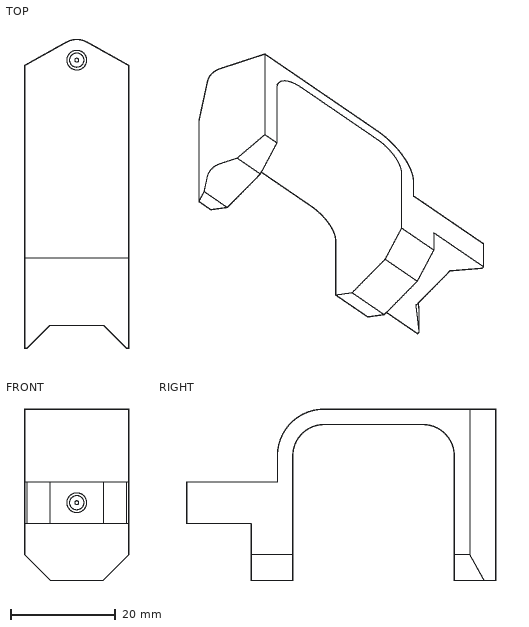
import cadquery as cq
import math

WIDTH = 20.0
HEIGHT = 33.0
LENGTH = 59.4
WALL = 3.0
BACK_LEG = 8.0
CLEAR_SPAN = 31.0
FRONT_FOOT = 8.0
INNER_RADIUS = 6.0
OUTER_RADIUS = INNER_RADIUS + WALL

ARM_BOTTOM = 11.0
ARM_TOP = 19.0

FOOT_CHAMFER = 5.0
NOSE_LENGTH = 5.0
NOSE_RADIUS = 4.0
NOTCH_DEPTH = 4.4
NOTCH_FLOOR = 10.3

MOUTH_DIAMETER = 3.8
BORE_DIAMETER = 2.74
HOLE_FLAT_DIAMETER = 0.75
BORE_DEPTH = 6.0
TOP_HOLE_SETBACK = NOSE_RADIUS

inner_back = -BACK_LEG
inner_front = inner_back - CLEAR_SPAN
leg_front = inner_front - WALL
foot_front = inner_front - FRONT_FOOT
arm_front = -LENGTH
notch_floor_y = arm_front + NOTCH_DEPTH


def make_body():
    """Side profile in the YZ plane, extruded symmetrically along X."""
    outline = (
        cq.Workplane("YZ")
        .moveTo(0, 0)
        .lineTo(0, HEIGHT)
        .lineTo(leg_front + OUTER_RADIUS, HEIGHT)
        .radiusArc((leg_front, HEIGHT - OUTER_RADIUS), -OUTER_RADIUS)
        .lineTo(leg_front, ARM_TOP)
        .lineTo(arm_front, ARM_TOP)
        .lineTo(arm_front, ARM_BOTTOM)
        .lineTo(foot_front, ARM_BOTTOM)
        .lineTo(foot_front, 0)
        .lineTo(inner_front, 0)
        .lineTo(inner_front, HEIGHT - WALL - INNER_RADIUS)
        .radiusArc((inner_front + INNER_RADIUS, HEIGHT - WALL), INNER_RADIUS)
        .lineTo(inner_back - INNER_RADIUS, HEIGHT - WALL)
        .radiusArc((inner_back, HEIGHT - WALL - INNER_RADIUS), INNER_RADIUS)
        .lineTo(inner_back, 0)
        .close()
    )
    return outline.extrude(WIDTH / 2, both=True)


def make_plan_envelope():
    """Plan outline: pointed and rounded at the back, notched at the front."""
    corner_drop = NOSE_LENGTH - NOSE_RADIUS
    corner_distance = math.hypot(WIDTH / 2, corner_drop)
    nose_angle = math.atan2(corner_drop, WIDTH / 2) + math.asin(NOSE_RADIUS / corner_distance)
    tangent_x = NOSE_RADIUS * math.sin(nose_angle)
    tangent_y = NOSE_RADIUS * (math.cos(nose_angle) - 1)
    half_floor = NOTCH_FLOOR / 2
    half_mouth = half_floor + NOTCH_DEPTH
    return (
        cq.Workplane("XY")
        .moveTo(-WIDTH / 2, arm_front)
        .lineTo(-WIDTH / 2, -NOSE_LENGTH)
        .lineTo(-tangent_x, tangent_y)
        .threePointArc((0, 0), (tangent_x, tangent_y))
        .lineTo(WIDTH / 2, -NOSE_LENGTH)
        .lineTo(WIDTH / 2, arm_front)
        .lineTo(half_mouth, arm_front)
        .lineTo(half_floor, notch_floor_y)
        .lineTo(-half_floor, notch_floor_y)
        .lineTo(-half_mouth, arm_front)
        .close()
        .extrude(HEIGHT)
    )


def make_front_envelope():
    """Front outline: a rectangle with both lower corners cut at 45 degrees."""
    half = WIDTH / 2
    return (
        cq.Workplane("XZ")
        .polyline([
            (half - FOOT_CHAMFER, 0),
            (half, FOOT_CHAMFER),
            (half, HEIGHT),
            (-half, HEIGHT),
            (-half, FOOT_CHAMFER),
            (FOOT_CHAMFER - half, 0),
        ])
        .close()
        .extrude(LENGTH)
    )


def make_hole(mouth_plane):
    """Cutter for one blind hole; the plane's normal points out of the part."""
    mouth_radius = MOUTH_DIAMETER / 2
    bore_radius = BORE_DIAMETER / 2
    flat_radius = HOLE_FLAT_DIAMETER / 2
    countersink_depth = mouth_radius - bore_radius
    tip_depth = BORE_DEPTH + bore_radius - flat_radius
    cutter = (
        cq.Workplane("XZ")
        .polyline([
            (0, 0),
            (mouth_radius, 0),
            (bore_radius, -countersink_depth),
            (bore_radius, -BORE_DEPTH),
            (flat_radius, -tip_depth),
            (0, -tip_depth),
        ])
        .close()
        .revolve(360, (0, 0, 0), (0, 1, 0))
    )
    return cutter.val().moved(cq.Location(mouth_plane))


top_hole_plane = cq.Plane(origin=(0, -TOP_HOLE_SETBACK, HEIGHT), normal=(0, 0, 1))
arm_hole_plane = cq.Plane(
    origin=(0, notch_floor_y, (ARM_BOTTOM + ARM_TOP) / 2),
    xDir=(1, 0, 0),
    normal=(0, -1, 0),
)

result = make_body().intersect(make_plan_envelope()).intersect(make_front_envelope())
for plane in (top_hole_plane, arm_hole_plane):
    result = result.cut(make_hole(plane))